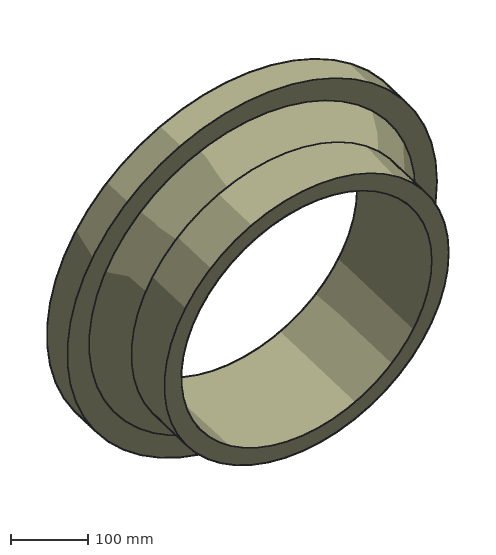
import cadquery as cq

flange_diameter = 585.0
flange_thickness = 46.0
hub_base_diameter = 516.0
neck_diameter = 450.0
bore_diameter = 396.0
hub_end = 94.0
overall_length = 168.0


def weld_neck_flange():
    """Revolve the half section (axial position, radius) about the X axis."""
    bore_radius = bore_diameter / 2
    flange_radius = flange_diameter / 2
    hub_base_radius = hub_base_diameter / 2
    neck_radius = neck_diameter / 2
    half_section = (
        cq.Workplane("XY")
        .moveTo(0, bore_radius)
        .lineTo(0, flange_radius)
        .lineTo(flange_thickness, flange_radius)
        .lineTo(flange_thickness, hub_base_radius)
        .lineTo(hub_end, neck_radius)
        .lineTo(overall_length, neck_radius)
        .lineTo(overall_length, bore_radius)
        .close()
    )
    return half_section.revolve(360, (0, 0, 0), (1, 0, 0))


result = weld_neck_flange()